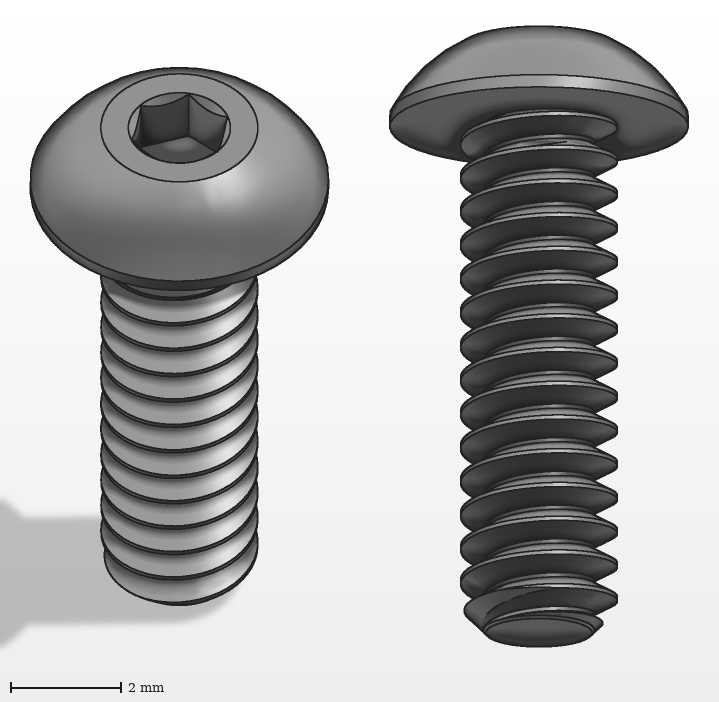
import cadquery as cq
import math

head_diameter = 5.41
head_height = 1.499
rim_height = 0.23
crown_diameter = 2.85

socket_across_flats = 1.5875
socket_depth = 1.05
socket_mouth_diameter = 1.853

shank_length = 9.525
major_diameter = 2.845
pitch = 0.635
tip_diameter = 1.92
flank_half_angle = math.radians(30)
crest_width = pitch / 8
sharp_v_height = pitch / 2 / math.tan(flank_half_angle)
thread_depth = 3 / 4 * sharp_v_height
crest_height_at_x_axis = -3 / 16 * pitch

head_radius = head_diameter / 2
crown_radius = crown_diameter / 2
major_radius = major_diameter / 2
core_radius = major_radius - thread_depth
tip_radius = tip_diameter / 2


def revolve_around_z(profile):
    """Revolve a profile drawn as (radius, Z) on the XZ plane."""
    return profile.close().revolve(360, (0, 0, 0), (0, 1, 0))


def make_head():
    dome_center = (crown_radius**2 + head_height**2 - head_radius**2 - rim_height**2) / (
        2 * (head_height - rim_height)
    )
    dome_radius = math.hypot(head_radius, rim_height - dome_center)
    mid_radius = (head_radius + crown_radius) / 2
    mid_height = dome_center + math.sqrt(dome_radius**2 - mid_radius**2)
    return revolve_around_z(
        cq.Workplane("XZ")
        .lineTo(head_radius, 0)
        .lineTo(head_radius, rim_height)
        .threePointArc((mid_radius, mid_height), (crown_radius, head_height))
        .lineTo(0, head_height)
    )


def make_socket():
    across_corners = socket_across_flats / math.cos(math.radians(30))
    hexagon = (
        cq.Workplane("XY", origin=(0, 0, head_height - socket_depth))
        .transformed(rotate=(0, 0, 90))
        .polygon(6, across_corners)
        .extrude(socket_depth)
    )
    mouth_radius = socket_mouth_diameter / 2
    lead_in = revolve_around_z(
        cq.Workplane("XZ", origin=(0, 0, head_height))
        .lineTo(mouth_radius, 0)
        .lineTo(0, -mouth_radius)
    )
    return hexagon.union(lead_in)


def make_core():
    return revolve_around_z(
        cq.Workplane("XZ")
        .lineTo(core_radius, 0)
        .lineTo(core_radius, core_radius - tip_radius - shank_length)
        .lineTo(tip_radius, -shank_length)
        .lineTo(0, -shank_length)
    )


def make_screw():
    return make_head().union(make_core()).cut(make_socket())


def make_thread_envelope():
    """Space for the thread: from the head down, narrowing along the tip chamfer."""
    clearance = 0.3
    envelope_radius = major_radius + clearance
    return revolve_around_z(
        cq.Workplane("XZ")
        .lineTo(envelope_radius, 0)
        .lineTo(envelope_radius, envelope_radius - tip_radius - shank_length)
        .lineTo(tip_radius, -shank_length)
        .lineTo(0, -shank_length)
    )


def make_thread():
    crest_half = crest_width / 2
    base_half = crest_half + thread_depth * math.tan(flank_half_angle)

    turns = math.ceil(shank_length / pitch) + 2
    start_height = crest_height_at_x_axis - (turns - 1) * pitch
    helix = cq.Wire.makeHelix(pitch, turns * pitch, core_radius, cq.Vector(0, 0, start_height))
    ridge = (
        cq.Workplane("XZ", origin=(0, 0, start_height))
        .moveTo(core_radius, -base_half)
        .lineTo(major_radius, -crest_half)
        .lineTo(major_radius, crest_half)
        .lineTo(core_radius, base_half)
        .close()
        .sweep(cq.Workplane(helix), isFrenet=True)
    )
    return ridge.intersect(make_thread_envelope()).solids()


screw = make_screw()
thread = make_thread()

result = cq.Compound.makeCompound([screw.val(), thread.val()])